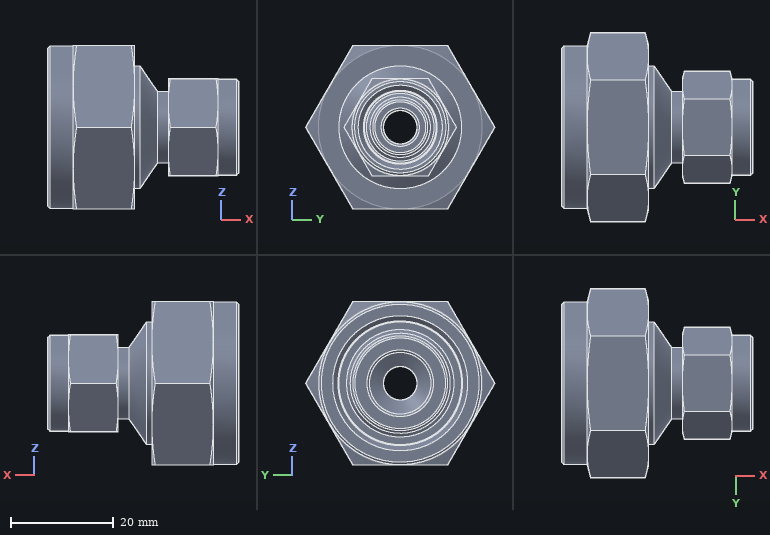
import cadquery as cq
import math

TOTAL_LENGTH = 37.35

COLLAR_STEP = 0.1
COLLAR_CHAMFER = 0.5
HEX_CHAMFER_ANGLE = 15.0
BORE_CLEARANCE = 0.2

LARGE_ACROSS_FLATS = 32.0
LARGE_NUT_LENGTH = 17.0
LARGE_COLLAR_LENGTH = 5.0
LARGE_MOUTH_RADIUS = 13.2

SMALL_ACROSS_FLATS = 19.0
SMALL_NUT_LENGTH = 13.8
SMALL_COLLAR_LENGTH = 4.07
SMALL_MOUTH_RADIUS = 8.2

LARGE_SHOULDER_RADIUS = 12.0
SMALL_SHOULDER_RADIUS = 7.02
LARGE_SHOULDER_END = 18.08
TAPER_END = 21.48
LARGE_BORE_RADIUS = 6.0
SMALL_BORE_RADIUS = 3.25
BORE_MOUTH_CHAMFER = 0.5
BORE_STEP_ANGLE = 30.0

NOSE_INSET = 1.0
NOSE_HALF_ANGLE = 12.0
NOSE_GROWTH = 1.65
LARGE_TIP_RADIUS = 8.85
SMALL_TIP_RADIUS = 4.95
SEAL_SECTION_RADIUS = 1.0
SEAL_SINK = 0.67
SEAL_OFFSET = 2.75

NOSE_SLOPE = math.tan(math.radians(NOSE_HALF_ANGLE))
SHOULDER_DEPTH = NOSE_INSET + NOSE_GROWTH / NOSE_SLOPE


def revolve_about_x(points):
    """Solid of revolution from (x, radius) points."""
    return cq.Workplane("XY").polyline(points).close().revolve(360, (0, 0, 0), (1, 0, 0))


def face_to_small_end(body):
    """Turn a body with its mouth at X = 0 so that its mouth is at X = TOTAL_LENGTH."""
    return body.rotate((0, 0, 0), (0, 0, 1), 180).translate((TOTAL_LENGTH, 0, 0))


def chamfered_hexagon(across_flats, start, end):
    """Hexagon along X with flats on +-Z and conical chamfers on its corners."""
    flat_radius = across_flats / 2
    corner_radius = flat_radius / math.cos(math.radians(30))
    chamfer_depth = (corner_radius - flat_radius) * math.tan(math.radians(HEX_CHAMFER_ANGLE))
    prism = (
        cq.Workplane("YZ", origin=(start, 0, 0))
        .polygon(6, 2 * corner_radius)
        .extrude(end - start)
    )
    envelope = revolve_about_x([
        (start, 0),
        (start, flat_radius),
        (start + chamfer_depth, corner_radius),
        (end - chamfer_depth, corner_radius),
        (end, flat_radius),
        (end, 0),
    ])
    return prism.intersect(envelope)


def union_nut(across_flats, length, collar_length, mouth_radius, shoulder_radius):
    """Nut with its round collar and mouth at X = 0."""
    collar_radius = across_flats / 2 - COLLAR_STEP
    collar = revolve_about_x([
        (0, 0),
        (0, collar_radius - COLLAR_CHAMFER),
        (COLLAR_CHAMFER, collar_radius),
        (collar_length, collar_radius),
        (collar_length, 0),
    ])
    bore_radius = shoulder_radius + BORE_CLEARANCE
    lead_in_depth = mouth_radius - bore_radius
    bore = revolve_about_x([
        (0, 0),
        (0, mouth_radius),
        (lead_in_depth, bore_radius),
        (SHOULDER_DEPTH, bore_radius),
        (SHOULDER_DEPTH, shoulder_radius),
        (length, shoulder_radius),
        (length, 0),
    ])
    return chamfered_hexagon(across_flats, collar_length, length).union(collar).cut(bore)


def sealing_nose(tip_radius):
    """Solid conical nose with a round sealing bead, for a nut mouth at X = 0."""
    cone = revolve_about_x([
        (NOSE_INSET, 0),
        (NOSE_INSET, tip_radius),
        (SHOULDER_DEPTH, tip_radius + NOSE_GROWTH),
        (SHOULDER_DEPTH, 0),
    ])
    seal_radius = tip_radius + SEAL_OFFSET * NOSE_SLOPE - SEAL_SINK
    bead = (
        cq.Workplane("XY")
        .center(NOSE_INSET + SEAL_OFFSET, seal_radius)
        .circle(SEAL_SECTION_RADIUS)
        .revolve(360, (0, -seal_radius, 0), (1, -seal_radius, 0))
    )
    return cone.union(bead)


def through_bore():
    """Stepped bore along the whole reducer, chamfered at both nose tips."""
    bore_end = TOTAL_LENGTH - NOSE_INSET
    step_depth = (LARGE_BORE_RADIUS - SMALL_BORE_RADIUS) * math.tan(math.radians(BORE_STEP_ANGLE))
    return revolve_about_x([
        (NOSE_INSET, 0),
        (NOSE_INSET, LARGE_BORE_RADIUS + BORE_MOUTH_CHAMFER),
        (NOSE_INSET + BORE_MOUTH_CHAMFER, LARGE_BORE_RADIUS),
        (TAPER_END - step_depth, LARGE_BORE_RADIUS),
        (TAPER_END, SMALL_BORE_RADIUS),
        (bore_end - BORE_MOUTH_CHAMFER, SMALL_BORE_RADIUS),
        (bore_end, SMALL_BORE_RADIUS + BORE_MOUTH_CHAMFER),
        (bore_end, 0),
    ])


def reducer_body():
    """Tapered middle with a sealing nose on each end and a stepped through bore."""
    small_shoulder_face = TOTAL_LENGTH - SHOULDER_DEPTH
    middle = revolve_about_x([
        (SHOULDER_DEPTH, 0),
        (SHOULDER_DEPTH, LARGE_SHOULDER_RADIUS),
        (LARGE_SHOULDER_END, LARGE_SHOULDER_RADIUS),
        (TAPER_END, SMALL_SHOULDER_RADIUS),
        (small_shoulder_face, SMALL_SHOULDER_RADIUS),
        (small_shoulder_face, 0),
    ])
    large_nose = sealing_nose(LARGE_TIP_RADIUS)
    small_nose = face_to_small_end(sealing_nose(SMALL_TIP_RADIUS))
    return middle.union(large_nose).union(small_nose).cut(through_bore())


large_nut = union_nut(
    LARGE_ACROSS_FLATS,
    LARGE_NUT_LENGTH,
    LARGE_COLLAR_LENGTH,
    LARGE_MOUTH_RADIUS,
    LARGE_SHOULDER_RADIUS,
)
small_nut = face_to_small_end(
    union_nut(
        SMALL_ACROSS_FLATS,
        SMALL_NUT_LENGTH,
        SMALL_COLLAR_LENGTH,
        SMALL_MOUTH_RADIUS,
        SMALL_SHOULDER_RADIUS,
    )
)
reducer = reducer_body()

bodies = [large_nut, reducer, small_nut]
result = cq.Compound.makeCompound([body.solids().val() for body in bodies])